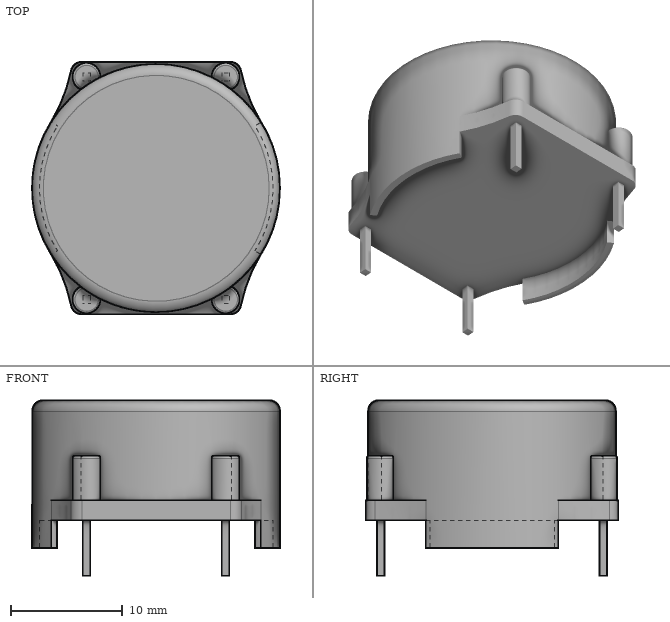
import cadquery as cq
import math

CAP_DIAMETER = 22.3
CAP_HEIGHT = 13.3
CAP_EDGE_RADIUS = 1.0

SKIRT_INNER_DIAMETER = 21.0
SKIRT_HALF_ANGLE = math.radians(32.3)

PLATE_BOTTOM = 2.5
PLATE_THICKNESS = 1.8
PLATE_LENGTH_Y = 22.7
PLATE_END_WIDTH = 15.0
PLATE_CORNER_RADIUS = 1.0
FLANK_SAG = 0.28

PIN_SPACING_X = 12.5
PIN_SPACING_Y = 20.0
PIN_WIDTH = 0.7
PIN_LENGTH = 5.0
POST_DIAMETER = 2.5
POST_HEIGHT = 4.0
POST_EDGE_RADIUS = 0.2

cap_radius = CAP_DIAMETER / 2
plate_top = PLATE_BOTTOM + PLATE_THICKNESS
flank_x = cap_radius * math.cos(SKIRT_HALF_ANGLE)
flank_y = cap_radius * math.sin(SKIRT_HALF_ANGLE)


def make_cap():
    """Cylinder with a rounded top edge, bored from below up to the plate and notched at both Y ends."""
    cap = cq.Workplane("XY").circle(cap_radius).extrude(CAP_HEIGHT)
    cap = cap.faces(">Z").edges().fillet(CAP_EDGE_RADIUS)
    cap = cap.cut(cq.Workplane("XY").circle(SKIRT_INNER_DIAMETER / 2).extrude(PLATE_BOTTOM))
    for side in (-1, 1):
        cap = cap.cut(make_notch(side))
    return cap


def make_notch(side):
    """Wedge that parts the skirt with radial ends; side is -1 for the -Y notch, +1 for the +Y one."""
    reach_y = side * CAP_DIAMETER
    reach_x = CAP_DIAMETER / math.tan(SKIRT_HALF_ANGLE)
    corners = [(0, 0), (reach_x, reach_y), (-reach_x, reach_y)]
    return cq.Workplane("XY").polyline(corners).close().extrude(PLATE_BOTTOM)


def make_plate():
    """Plate with straight ends, concave flanks and rounded corners; its middle lies inside the cap."""
    end_x = PLATE_END_WIDTH / 2
    end_y = PLATE_LENGTH_Y / 2
    plate = (
        cq.Workplane("XY").workplane(offset=PLATE_BOTTOM)
        .moveTo(-end_x, end_y)
        .lineTo(end_x, end_y)
        .sagittaArc((flank_x, flank_y), -FLANK_SAG)
        .lineTo(flank_x, -flank_y)
        .sagittaArc((end_x, -end_y), -FLANK_SAG)
        .lineTo(-end_x, -end_y)
        .sagittaArc((-flank_x, -flank_y), -FLANK_SAG)
        .lineTo(-flank_x, flank_y)
        .sagittaArc((-end_x, end_y), -FLANK_SAG)
        .close()
        .extrude(PLATE_THICKNESS)
    )
    corners = plate.edges("|Z").edges("<Y or >Y")
    return corners.fillet(PLATE_CORNER_RADIUS)


def pin_positions(height):
    """Workplane at the given height with the four pin positions selected."""
    plane = cq.Workplane("XY").workplane(offset=height)
    return plane.rarray(PIN_SPACING_X, PIN_SPACING_Y, 2, 2)


def make_posts():
    """Round posts standing on the plate, top edges rounded."""
    posts = pin_positions(plate_top).circle(POST_DIAMETER / 2).extrude(POST_HEIGHT)
    return posts.faces(">Z").edges().fillet(POST_EDGE_RADIUS)


def make_pins():
    """Square pins hanging from the underside of the plate."""
    return pin_positions(PLATE_BOTTOM).rect(PIN_WIDTH, PIN_WIDTH).extrude(-PIN_LENGTH)


result = make_cap().union(make_plate()).union(make_posts()).union(make_pins())